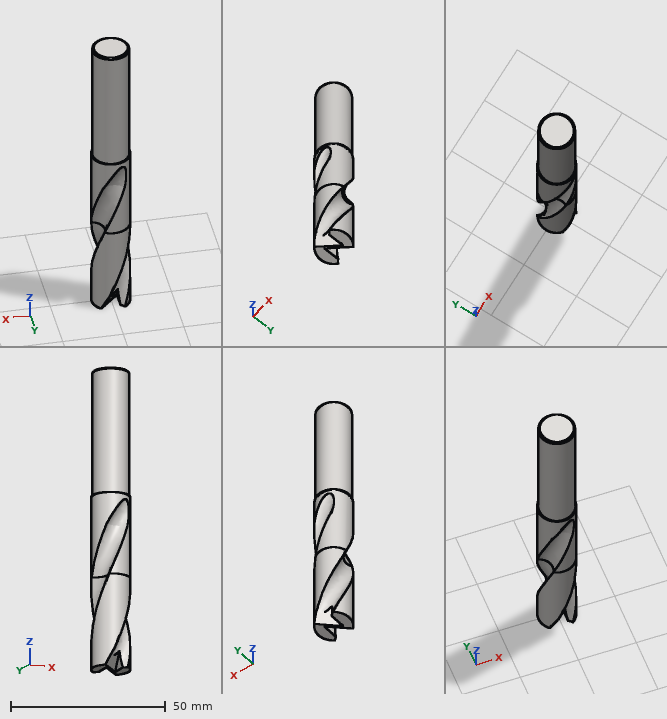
import cadquery as cq
import math

total_length = 100.0
body_diameter = 12.7
shank_diameter = 12.0
body_length = 58.0
tip_length = 30.6
shank_chamfer = 0.5

flute_count = 2
flute_lead = 96.0
flute_length = 47.5
flute_half_angle = 35.0
flute_start_angle = 90.0
web_radius = 3.4
runout_height = 10.0
runout_sideways = 5.5
runout_outward = 2.3

gash_rim_point = (-4.2, -4.8, 0)
gash_roof_normal = (1.0, -1.0, -0.72)
gash_height = 6.5
gash_wall_bottom = 2.4
gash_wall_top = 1.6
gash_back = 1.9

body_radius = body_diameter / 2
clear_radius = body_radius + 3.0
clear_size = 4 * body_diameter
flute_twist = 360 * flute_length / flute_lead
flute_spacing = 360 / flute_count


def polar(radius, angle):
    """Point at a radius and an angle in degrees."""
    return (radius * math.cos(math.radians(angle)), radius * math.sin(math.radians(angle)))


def flute_section(middle_angle, height):
    """Groove cross-section: a round floor, open past the rim."""
    start = middle_angle - flute_half_angle
    end = middle_angle + flute_half_angle
    return (
        cq.Workplane("XY", origin=(0, 0, height))
        .moveTo(*polar(body_radius, start))
        .threePointArc(polar(web_radius, middle_angle), polar(body_radius, end))
        .lineTo(*polar(clear_radius, end))
        .threePointArc(polar(clear_radius, middle_angle), polar(clear_radius, start))
        .close()
    )


def make_helix_cutter():
    return flute_section(flute_start_angle, 0).twistExtrude(flute_length, flute_twist)


def make_runout_cutter():
    """Straight continuation of the groove that climbs out through the rim."""
    section = flute_section(flute_start_angle + flute_twist, flute_length).wires().val()
    shift = cq.Vector(runout_sideways, -runout_outward, runout_height)
    return cq.Workplane(obj=cq.Solid.makeLoft([section, section.translate(shift)], True))


def make_gash_cutter():
    """Wedge under the sloping roof, limited by the side wall and the back."""
    wedge = (
        cq.Workplane("XZ", origin=(0, gash_back, 0))
        .polyline([
            (-clear_radius, 0),
            (gash_wall_bottom, 0),
            (gash_wall_top, gash_height),
            (-clear_radius, gash_height),
        ])
        .close()
        .extrude(gash_back + clear_radius)
    )
    roof = cq.Plane(origin=gash_rim_point, normal=gash_roof_normal)
    below_roof = cq.Workplane(roof).rect(clear_size, clear_size).extrude(clear_size)
    return wedge.intersect(below_roof)


def cut_around(blank, cutter):
    """Cut one copy of the cutter for every flute."""
    for index in range(flute_count):
        blank = blank.cut(cutter.rotate((0, 0, 0), (0, 0, 1), index * flute_spacing))
    return blank


def make_tip():
    """Cutting tip: fluted cylinder with gashes at its end."""
    tip = cq.Workplane("XY").circle(body_radius).extrude(tip_length)
    tip = cut_around(tip, make_helix_cutter())
    return cut_around(tip, make_gash_cutter())


def make_holder():
    """Upper fluted body with the plain shank."""
    body = cq.Workplane("XY", origin=(0, 0, tip_length)).circle(body_radius).extrude(body_length - tip_length)
    body = cut_around(body, make_helix_cutter())
    body = cut_around(body, make_runout_cutter())
    shank = (
        cq.Workplane("XY", origin=(0, 0, body_length))
        .circle(shank_diameter / 2)
        .extrude(total_length - body_length)
        .faces(">Z")
        .chamfer(shank_chamfer)
    )
    return body.union(shank)


tip = make_tip()
holder = make_holder()

result = cq.Compound.makeCompound([tip.val(), holder.val()])